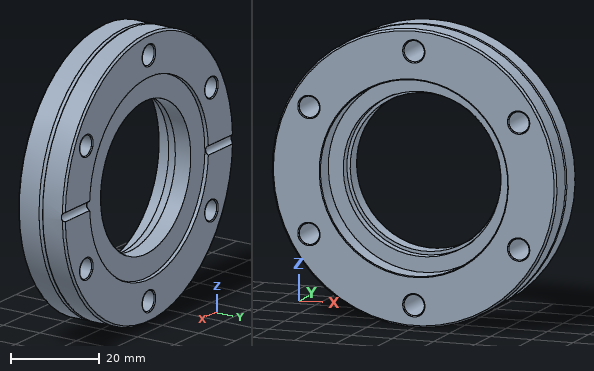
import cadquery as cq
import math

FLANGE_DIAMETER = 69.1
FLANGE_THICKNESS = 12.7
RIM_CHAMFER = 0.5
FRONT_Y = -FLANGE_THICKNESS / 2
BACK_Y = FLANGE_THICKNESS / 2

RING_BORE_DIAMETER = 45.5
RING_BORE_CHAMFER = 0.2
SEAT_DIAMETER = 48.3
SEAT_DEPTH = 5.25
SEAT_Y = FRONT_Y + SEAT_DEPTH

BOLT_COUNT = 6
BOLT_CIRCLE_DIAMETER = 58.75
BOLT_HOLE_DIAMETER = 4.9
BOLT_HOLE_CHAMFER = 0.25
BOLT_START_ANGLE = 90.0

RIM_GROOVE_WIDTH = 1.0
RIM_GROOVE_DEPTH = 0.4

NOTCH_WIDTH = 2.2
NOTCH_DEPTH = 0.75

INSERT_DIAMETER = 48.1
INSERT_RECESS = 0.9
INSERT_BACK_Y = BACK_Y - INSERT_RECESS
TUBE_SOCKET_DIAMETER = 38.2
TUBE_SOCKET_DEPTH = 2.35
INSERT_BORE_DIAMETER = 36.6


def cylinder(diameter, start_y, end_y, x=0.0, z=0.0):
    """Cylinder along Y between two Y positions."""
    solid = cq.Solid.makeCylinder(
        diameter / 2, end_y - start_y, cq.Vector(x, start_y, z), cq.Vector(0, 1, 0)
    )
    return cq.Workplane(obj=solid)


def edge_break(diameter, chamfer, face_y, inward, x=0.0, z=0.0):
    """45 degree cone that chamfers a hole's edge; inward (+1 or -1) points along Y into the ring."""
    solid = cq.Solid.makeCone(
        diameter / 2 + chamfer, diameter / 2, chamfer, cq.Vector(x, face_y, z), cq.Vector(0, inward, 0)
    )
    return cq.Workplane(obj=solid)


def cut_bolt_holes(ring):
    """Through holes on the bolt circle, chamfered at both ends."""
    for index in range(BOLT_COUNT):
        angle = math.radians(BOLT_START_ANGLE + index * 360 / BOLT_COUNT)
        x = BOLT_CIRCLE_DIAMETER / 2 * math.cos(angle)
        z = BOLT_CIRCLE_DIAMETER / 2 * math.sin(angle)
        ring = ring.cut(cylinder(BOLT_HOLE_DIAMETER, FRONT_Y, BACK_Y, x, z))
        ring = ring.cut(edge_break(BOLT_HOLE_DIAMETER, BOLT_HOLE_CHAMFER, FRONT_Y, 1, x, z))
        ring = ring.cut(edge_break(BOLT_HOLE_DIAMETER, BOLT_HOLE_CHAMFER, BACK_Y, -1, x, z))
    return ring


def arc_radius(width, depth):
    """Radius of a circular arc from its chord width and its depth."""
    return (width ** 2 / 4 + depth ** 2) / (2 * depth)


def make_rim_groove():
    """Torus whose tube cuts a shallow round groove halfway through the thickness."""
    tube_radius = arc_radius(RIM_GROOVE_WIDTH, RIM_GROOVE_DEPTH)
    ring_radius = FLANGE_DIAMETER / 2 - RIM_GROOVE_DEPTH + tube_radius
    solid = cq.Solid.makeTorus(
        ring_radius, tube_radius, cq.Vector(0, 0, 0), cq.Vector(0, 1, 0)
    )
    return cq.Workplane(obj=solid)


def make_leak_notch():
    """Round-bottomed bar along X; its arc spans the notch width at the back face."""
    radius = arc_radius(NOTCH_WIDTH, NOTCH_DEPTH)
    return (
        cq.Workplane("YZ")
        .center(BACK_Y - NOTCH_DEPTH + radius, 0)
        .circle(radius)
        .extrude(FLANGE_DIAMETER / 2, both=True)
    )


def make_outer_ring():
    """Bolt ring with a shouldered bore that holds the insert."""
    ring = cylinder(FLANGE_DIAMETER, FRONT_Y, BACK_Y).edges("%CIRCLE").chamfer(RIM_CHAMFER)
    ring = ring.cut(cylinder(RING_BORE_DIAMETER, FRONT_Y, BACK_Y))
    ring = ring.cut(edge_break(RING_BORE_DIAMETER, RING_BORE_CHAMFER, FRONT_Y, 1))
    ring = ring.cut(cylinder(SEAT_DIAMETER, SEAT_Y, BACK_Y))
    ring = ring.cut(make_rim_groove())
    ring = cut_bolt_holes(ring)
    return ring.cut(make_leak_notch())


def make_insert():
    """Inner disc that rests on the seat shoulder, with a tube socket and a bore."""
    insert = cylinder(INSERT_DIAMETER, SEAT_Y, INSERT_BACK_Y)
    insert = insert.cut(cylinder(TUBE_SOCKET_DIAMETER, SEAT_Y, SEAT_Y + TUBE_SOCKET_DEPTH))
    return insert.cut(cylinder(INSERT_BORE_DIAMETER, SEAT_Y, INSERT_BACK_Y))


outer_ring = make_outer_ring()
insert = make_insert()

result = cq.Compound.makeCompound([outer_ring.val(), insert.val()])